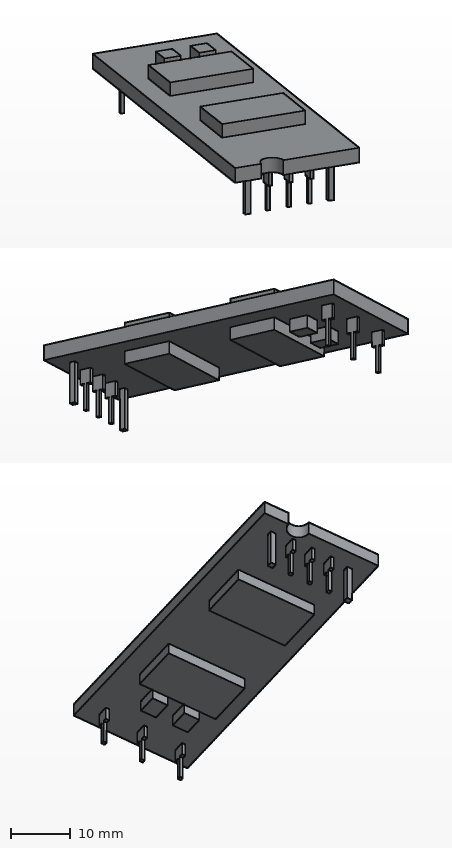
import cadquery as cq

board_length = 57.9
board_width = 22.8
board_thickness = 2.65
notch_radius = 2.0
notch_y = -4.6

overall_height = 12.4
top_height = 2.45
bottom_height = 2.25
core_size_y = 15.2
core_left_x = -10.25
core_left_length = 8.8
core_right_x = 10.8
core_right_length = 8.9
chip_length = 3.55
chip_width = 3.0
chip_x = -18.05
chip_places_y = (3.95, -2.45)

pin_row_x = 25.4
outer_pin_y = 7.65
inner_pin_y = outer_pin_y / 2
pin_length = overall_height - board_thickness - top_height
signal_pin_thickness = 0.65
power_pin_thickness = 1.0
shoulder_length = 2.1
shoulder_height = 2.6


def through_block(x, y, length, width):
    """Block that passes through the board and stands out on both faces."""
    height = bottom_height + board_thickness + top_height
    block = cq.Workplane("XY").box(length, width, height, centered=(True, True, False))
    return block.translate((x, y, -bottom_height))


def plain_pin(x, y, thickness):
    """Square pin hanging from the underside of the board."""
    return cq.Workplane("XY").center(x, y).rect(thickness, thickness).extrude(-pin_length)


def shouldered_pin(x, y):
    """Signal pin with a flat shoulder, wide along X, below the board."""
    shoulder = cq.Workplane("XY").center(x, y).rect(shoulder_length, signal_pin_thickness)
    return plain_pin(x, y, signal_pin_thickness).union(shoulder.extrude(-shoulder_height))


result = cq.Workplane("XY").rect(board_length, board_width).extrude(board_thickness)
notch = cq.Workplane("XY").center(board_length / 2, notch_y).circle(notch_radius)
result = result.cut(notch.extrude(board_thickness))

result = result.union(through_block(core_left_x, 0, core_left_length, core_size_y))
result = result.union(through_block(core_right_x, 0, core_right_length, core_size_y))
for chip_y in chip_places_y:
    result = result.union(through_block(chip_x, chip_y, chip_length, chip_width))

for pin_y in (-outer_pin_y, 0, outer_pin_y):
    result = result.union(shouldered_pin(-pin_row_x, pin_y))

for pin_y in (-inner_pin_y, 0, inner_pin_y):
    result = result.union(shouldered_pin(pin_row_x, pin_y))
for pin_y in (-outer_pin_y, outer_pin_y):
    result = result.union(plain_pin(pin_row_x, pin_y, power_pin_thickness))